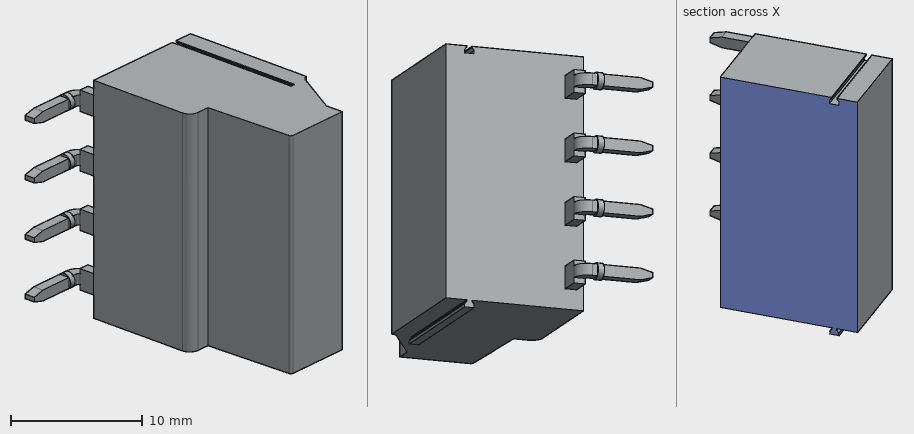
import cadquery as cq
import math

HOUSING_LENGTH = 18.0
HOUSING_DEPTH = 11.2
HOUSING_HEIGHT = 20.0
FOOT_LENGTH = 9.82
FOOT_RADIUS = 0.85
STEP_HEIGHT = 2.0
NOSE_LOW_Y = 2.28
NOSE_RADIUS = 0.22
NOSE_TOP_Y = 8.2
SHOULDER_LENGTH = 11.75
SHOULDER_RADIUS = 0.55
SLOPE_ANGLE = math.radians(30)

RAIL_Y = HOUSING_DEPTH - 1.9
RAIL_LENGTH = 12.0
RAIL_HEIGHT = 0.57
RAIL_NECK_WIDTH = 0.43
RAIL_NECK_HEIGHT = 0.1
RAIL_HEAD_WIDTH = 0.77
RAIL_HEAD_HEIGHT = 0.25

PIN_COUNT = 4
PIN_PITCH = 5.0
FIRST_PIN_Z = (HOUSING_HEIGHT - (PIN_COUNT - 1) * PIN_PITCH) / 2
PIN_THICKNESS = 0.93
PIN_X = -2.54
PIN_END_Y = -4.5
PIN_TIP_LENGTH = 1.0
PIN_TIP_WIDTH = 0.4
BAR_TOP_Y = 1.5
BAR_LENGTH = 1.9
BAR_WIDTH = 1.8
BEND_INNER_RADIUS = -PIN_X - PIN_THICKNESS / 2 - BAR_LENGTH
BEND_OUTER_RADIUS = BEND_INNER_RADIUS + PIN_THICKNESS
COLLAR_DIAMETER = 1.32
COLLAR_HEIGHT = 0.5


def make_housing():
    """Extruded housing with a stepped front, sloped back and narrow nose."""
    blend_end_x = SHOULDER_LENGTH + SHOULDER_RADIUS * (1 - math.sin(SLOPE_ANGLE))
    blend_end_y = HOUSING_DEPTH - SHOULDER_RADIUS * math.cos(SLOPE_ANGLE)
    slope_end_x = blend_end_x + (blend_end_y - NOSE_TOP_Y) / math.tan(SLOPE_ANGLE)
    housing = (
        cq.Workplane("XY")
        .moveTo(0, 0)
        .lineTo(FOOT_LENGTH, 0)
        .lineTo(FOOT_LENGTH, STEP_HEIGHT)
        .lineTo(HOUSING_LENGTH, NOSE_LOW_Y)
        .lineTo(HOUSING_LENGTH, NOSE_TOP_Y)
        .lineTo(slope_end_x, NOSE_TOP_Y)
        .lineTo(blend_end_x, blend_end_y)
        .tangentArcPoint((SHOULDER_LENGTH, HOUSING_DEPTH), relative=False)
        .lineTo(0, HOUSING_DEPTH)
        .close()
        .extrude(HOUSING_HEIGHT)
    )
    foot_edge = cq.selectors.NearestToPointSelector((FOOT_LENGTH, 0, HOUSING_HEIGHT / 2))
    nose_edge = cq.selectors.NearestToPointSelector((HOUSING_LENGTH, NOSE_LOW_Y, HOUSING_HEIGHT / 2))
    housing = housing.edges("|Z").edges(foot_edge).fillet(FOOT_RADIUS)
    return housing.edges("|Z").edges(nose_edge).fillet(NOSE_RADIUS)


def make_rail(base_z):
    """Dovetail-like rail hanging from base_z, running along X."""
    neck_z = base_z - RAIL_NECK_HEIGHT
    end_z = base_z - RAIL_HEIGHT
    head_z = end_z + RAIL_HEAD_HEIGHT
    neck = RAIL_NECK_WIDTH / 2
    head = RAIL_HEAD_WIDTH / 2
    return (
        cq.Workplane("YZ")
        .polyline([
            (RAIL_Y - neck, base_z),
            (RAIL_Y - neck, neck_z),
            (RAIL_Y - head, head_z),
            (RAIL_Y - head, end_z),
            (RAIL_Y + head, end_z),
            (RAIL_Y + head, head_z),
            (RAIL_Y + neck, neck_z),
            (RAIL_Y + neck, base_z),
        ])
        .close()
        .extrude(RAIL_LENGTH)
    )


def make_shank():
    """Straight pin shank with its faces tapering in Z towards the tip."""
    bend_y = BAR_TOP_Y - BEND_OUTER_RADIUS
    half = PIN_THICKNESS / 2
    tip = PIN_TIP_WIDTH / 2
    taper_y = PIN_END_Y + PIN_TIP_LENGTH
    return (
        cq.Workplane("YZ", origin=(PIN_X - half, 0, 0))
        .polyline([
            (bend_y, half),
            (taper_y, half),
            (PIN_END_Y, tip),
            (PIN_END_Y, -tip),
            (taper_y, -half),
            (bend_y, -half),
        ])
        .close()
        .extrude(PIN_THICKNESS)
    )


def make_bend():
    """Quarter-turn of square section joining the shank to the flat bar."""
    bend_y = BAR_TOP_Y - BEND_OUTER_RADIUS
    diagonal = math.sqrt(0.5)
    return (
        cq.Workplane("XY", origin=(-BAR_LENGTH, bend_y, -PIN_THICKNESS / 2))
        .moveTo(-BEND_OUTER_RADIUS, 0)
        .threePointArc(
            (-BEND_OUTER_RADIUS * diagonal, BEND_OUTER_RADIUS * diagonal),
            (0, BEND_OUTER_RADIUS),
        )
        .lineTo(0, BEND_INNER_RADIUS)
        .threePointArc(
            (-BEND_INNER_RADIUS * diagonal, BEND_INNER_RADIUS * diagonal),
            (-BEND_INNER_RADIUS, 0),
        )
        .close()
        .extrude(PIN_THICKNESS)
    )


def make_pin():
    """Complete pin centred on Z = 0: flat bar, bend, collar and tapered shank."""
    bar = cq.Workplane("XY").box(
        BAR_LENGTH, PIN_THICKNESS, BAR_WIDTH, centered=(False, False, True)
    ).translate((-BAR_LENGTH, BAR_TOP_Y - PIN_THICKNESS, 0))
    collar = (
        cq.Workplane("XZ", origin=(PIN_X, 0, 0))
        .circle(COLLAR_DIAMETER / 2)
        .extrude(COLLAR_HEIGHT)
    )
    return bar.union(make_bend()).union(make_shank()).union(collar)


result = make_housing().cut(make_rail(HOUSING_HEIGHT)).union(make_rail(0))
pin = make_pin()
for pin_index in range(PIN_COUNT):
    pin_z = FIRST_PIN_Z + pin_index * PIN_PITCH
    result = result.union(pin.translate((0, 0, pin_z)))